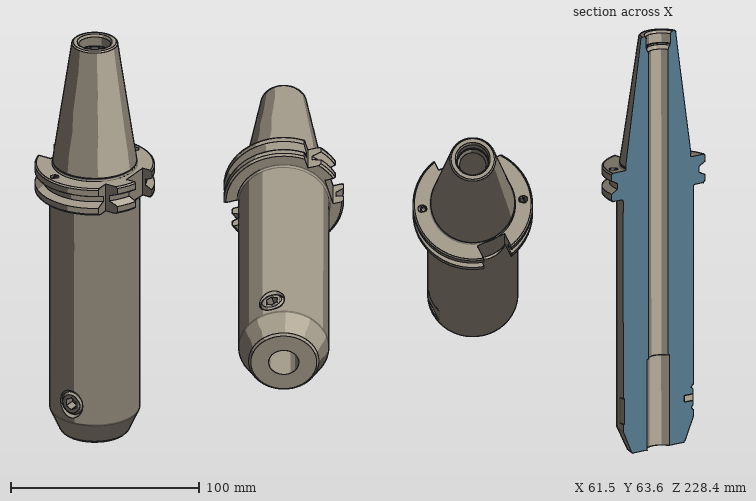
import cadquery as cq
import math


NOSE_TO_GAUGE = 160.0
SHANK_LENGTH = 68.4
TOTAL_LENGTH = NOSE_TO_GAUGE + SHANK_LENGTH

GAUGE_RADIUS = 44.45 / 2
TAPER_RATIO = 7 / 24
SHANK_END_RADIUS = GAUGE_RADIUS - SHANK_LENGTH * TAPER_RATIO / 2
SHANK_END_CHAMFER = 0.8
TAPER_OVERRUN = 1.4
TAPER_BASE = NOSE_TO_GAUGE - TAPER_OVERRUN
TAPER_BASE_RADIUS = GAUGE_RADIUS + TAPER_OVERRUN * TAPER_RATIO / 2
RELIEF_RADIUS = 22.15
RELIEF_FILLET = 0.6
RELIEF_TOP = TAPER_BASE - RELIEF_FILLET

FLANGE_RADIUS = 63.55 / 2
FLANGE_TOP = NOSE_TO_GAUGE - 3.2
FLANGE_BOTTOM = NOSE_TO_GAUGE - 19.1
FLANGE_TOP_CHAMFER = 0.8
FLANGE_BOTTOM_CHAMFER = 1.1
NECK_FILLET = 1.0

GROOVE_CENTRE = NOSE_TO_GAUGE - 11.1
GROOVE_FLOOR_RADIUS = 27.8
GROOVE_FLOOR_HALF = 1.5
GROOVE_MOUTH_HALF = 3.55

SLOT_WIDTH = 16.1
SLOT_BOTTOM = 133.0
LEFT_SLOT_FLOOR = 22.4
RIGHT_SLOT_FLOOR = 25.0
NOTCH_OFFSET = 18.5

COOLANT_CIRCLE_RADIUS = 27.0
COOLANT_HOLE_DIAMETER = 4.0
COOLANT_HOLE_DEPTH = 1.5
COOLANT_CHANNEL_DIAMETER = 2.4
COOLANT_CHANNEL_DEPTH = 10.0
COOLANT_TILT = 30.0
COOLANT_ANGLES = (70.0, 250.0)

BODY_RADIUS = 24.0
NOSE_SHOULDER = 13.1
NOSE_EDGE_RADIUS = 18.7
SHOULDER_FILLET = 1.3
NOSE_CHAMFER = 1.2

THROUGH_RADIUS = 7.0
TOOL_BORE_RADIUS = 8.0
TOOL_BORE_DEPTH = 50.0
PULL_BORE_RADIUS = 8.5
PULL_BORE_DEPTH = 6.6
THREAD_RADIUS = 8.2
THREAD_DEPTH = 7.7
THREAD_CONE_LENGTH = 2.1
PULL_BORE_CHAMFER_WIDTH = 0.8
PULL_BORE_CHAMFER_DEPTH = 1.4

SCREW_HEIGHT = 24.0
SCREW_RADIUS = 6.5
SCREW_SINK_RADIUS = 8.0
SCREW_END_RADIUS = 5.2
SCREW_OUTER_END = 23.6
HEX_ACROSS_FLATS = 6.0
HEX_DEPTH = 6.0

FLAT_DEPTH = 0.9
FLAT_HEIGHT = 14.0

EDGE_TOLERANCE = 0.01
HEX_SIDES = 6


def fillet_circle(solid, circle_radius, height, fillet_radius):
    """Round the circular edge of the given radius about Z at the given height."""
    reach = circle_radius + EDGE_TOLERANCE
    edge = cq.selectors.BoxSelector(
        (-reach, -reach, height - EDGE_TOLERANCE),
        (reach, reach, height + EDGE_TOLERANCE),
        boundingbox=True,
    )
    return solid.edges(edge).fillet(fillet_radius)


def turned_body():
    """Solid of revolution: nose, body, grooved flange and taper shank."""
    profile = (
        cq.Workplane("XZ")
        .lineTo(NOSE_EDGE_RADIUS - NOSE_CHAMFER, 0)
        .lineTo(NOSE_EDGE_RADIUS, NOSE_CHAMFER)
        .lineTo(BODY_RADIUS, NOSE_SHOULDER)
        .lineTo(BODY_RADIUS, FLANGE_BOTTOM)
        .lineTo(FLANGE_RADIUS - FLANGE_BOTTOM_CHAMFER, FLANGE_BOTTOM)
        .lineTo(FLANGE_RADIUS, FLANGE_BOTTOM + FLANGE_BOTTOM_CHAMFER)
        .lineTo(FLANGE_RADIUS, GROOVE_CENTRE - GROOVE_MOUTH_HALF)
        .lineTo(GROOVE_FLOOR_RADIUS, GROOVE_CENTRE - GROOVE_FLOOR_HALF)
        .lineTo(GROOVE_FLOOR_RADIUS, GROOVE_CENTRE + GROOVE_FLOOR_HALF)
        .lineTo(FLANGE_RADIUS, GROOVE_CENTRE + GROOVE_MOUTH_HALF)
        .lineTo(FLANGE_RADIUS, FLANGE_TOP - FLANGE_TOP_CHAMFER)
        .lineTo(FLANGE_RADIUS - FLANGE_TOP_CHAMFER, FLANGE_TOP)
        .lineTo(RELIEF_RADIUS, FLANGE_TOP)
        .lineTo(RELIEF_RADIUS, RELIEF_TOP)
        .lineTo(TAPER_BASE_RADIUS, TAPER_BASE)
        .lineTo(SHANK_END_RADIUS, TOTAL_LENGTH - SHANK_END_CHAMFER)
        .lineTo(SHANK_END_RADIUS - SHANK_END_CHAMFER, TOTAL_LENGTH)
        .lineTo(0, TOTAL_LENGTH)
        .close()
    )
    solid = profile.revolve(360, (0, 0), (0, 1))
    solid = fillet_circle(solid, BODY_RADIUS, NOSE_SHOULDER, SHOULDER_FILLET)
    solid = fillet_circle(solid, BODY_RADIUS, FLANGE_BOTTOM, NECK_FILLET)
    return fillet_circle(solid, RELIEF_RADIUS, FLANGE_TOP, RELIEF_FILLET)


def central_bore():
    """Tool bore from the nose, clear passage, and chamfered pull-stud bore from the shank end."""
    pull_bore_floor = TOTAL_LENGTH - PULL_BORE_DEPTH
    thread_floor = TOTAL_LENGTH - THREAD_DEPTH
    outline = [
        (0, 0),
        (TOOL_BORE_RADIUS, 0),
        (TOOL_BORE_RADIUS, TOOL_BORE_DEPTH),
        (THROUGH_RADIUS, TOOL_BORE_DEPTH),
        (THROUGH_RADIUS, thread_floor - THREAD_CONE_LENGTH),
        (THREAD_RADIUS, thread_floor),
        (THREAD_RADIUS, pull_bore_floor - (PULL_BORE_RADIUS - THREAD_RADIUS)),
        (PULL_BORE_RADIUS, pull_bore_floor),
        (PULL_BORE_RADIUS, TOTAL_LENGTH - PULL_BORE_CHAMFER_DEPTH),
        (PULL_BORE_RADIUS + PULL_BORE_CHAMFER_WIDTH, TOTAL_LENGTH),
        (0, TOTAL_LENGTH),
    ]
    return cq.Workplane("XZ").polyline(outline).close().revolve(360, (0, 0), (0, 1))


def driving_slot(floor, side):
    """Round-bottomed slot cutter outside X = side * floor, open at the flange top."""
    radius = SLOT_WIDTH / 2
    arc_centre = SLOT_BOTTOM + radius
    return (
        cq.Workplane("YZ", origin=(side * floor, 0, 0))
        .moveTo(-radius, FLANGE_TOP)
        .lineTo(-radius, arc_centre)
        .threePointArc((0, SLOT_BOTTOM), (radius, arc_centre))
        .lineTo(radius, FLANGE_TOP)
        .close()
        .extrude(side * FLANGE_RADIUS)
    )


def orientation_notch():
    """Square corner cut through the flange at +X, -Y."""
    size = FLANGE_RADIUS
    block = cq.Workplane("XY").box(size, size, FLANGE_TOP - FLANGE_BOTTOM, centered=False)
    return block.translate((NOTCH_OFFSET, -NOTCH_OFFSET - size, FLANGE_BOTTOM))


def coolant_hole(angle):
    """Stepped hole in the flange top face, leaning towards the axis as it goes down."""
    x = COOLANT_CIRCLE_RADIUS * math.cos(math.radians(angle))
    y = COOLANT_CIRCLE_RADIUS * math.sin(math.radians(angle))
    mouth_plane = (
        cq.Workplane("XY", origin=(x, y, FLANGE_TOP))
        .transformed(rotate=(0, 0, angle))
        .transformed(rotate=(0, COOLANT_TILT, 0))
    )
    mouth = mouth_plane.circle(COOLANT_HOLE_DIAMETER / 2).extrude(COOLANT_HOLE_DEPTH, both=True)
    channel = mouth_plane.circle(COOLANT_CHANNEL_DIAMETER / 2).extrude(-COOLANT_CHANNEL_DEPTH)
    return mouth.union(channel)


def screw_hole():
    """Countersunk radial recess above the clamping screw, with the screw's edge chamfer and hex socket."""
    edge = SCREW_RADIUS - SCREW_END_RADIUS
    sink = SCREW_SINK_RADIUS - SCREW_RADIUS
    outline = [
        (0, SCREW_OUTER_END),
        (SCREW_END_RADIUS, SCREW_OUTER_END),
        (SCREW_RADIUS, SCREW_OUTER_END - edge),
        (SCREW_RADIUS, BODY_RADIUS - sink),
        (SCREW_SINK_RADIUS, BODY_RADIUS),
        (0, BODY_RADIUS),
    ]
    recess = (
        cq.Workplane("XY", origin=(0, 0, SCREW_HEIGHT))
        .polyline([(x, -y) for x, y in outline])
        .close()
        .revolve(360, (0, 0), (0, 1))
    )
    hex_corner_diameter = HEX_ACROSS_FLATS / math.cos(math.pi / HEX_SIDES)
    socket = (
        cq.Workplane("XZ", origin=(0, -SCREW_OUTER_END, SCREW_HEIGHT))
        .transformed(rotate=(0, 0, 90))
        .polygon(HEX_SIDES, hex_corner_diameter)
        .extrude(-HEX_DEPTH)
    )
    return recess.union(socket)


def back_flat():
    """Shallow flat on the +Y side at screw height."""
    width = 2 * BODY_RADIUS
    block = cq.Workplane("XY").box(width, FLAT_DEPTH, FLAT_HEIGHT, centered=(True, False, True))
    return block.translate((0, BODY_RADIUS - FLAT_DEPTH, SCREW_HEIGHT))


result = turned_body().cut(central_bore())
result = result.cut(driving_slot(LEFT_SLOT_FLOOR, -1))
result = result.cut(driving_slot(RIGHT_SLOT_FLOOR, 1))
result = result.cut(orientation_notch())
for hole_angle in COOLANT_ANGLES:
    result = result.cut(coolant_hole(hole_angle))
result = result.cut(screw_hole())
result = result.cut(back_flat())